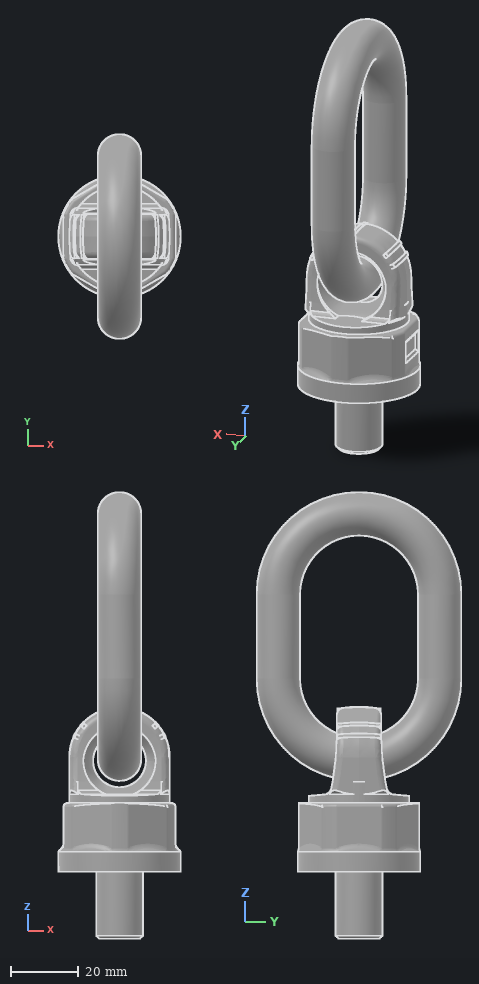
import cadquery as cq
import math


WIRE_DIAMETER = 13.0
RING_INNER_WIDTH = 35.0
RING_STRAIGHT = 25.0
RING_BOTTOM_Z = 27.0

STUD_DIAMETER = 14.0
STUD_LENGTH = 20.0
STUD_CHAMFER = 1.0
FLANGE_RADIUS = 18.25
FLANGE_HEIGHT = 6.0
HEX_ACROSS_FLATS = 33.4
HEX_CORNER_RADIUS = 18.0
HEX_TOP_Z = 20.5
HEX_EDGE_FILLET = 1.5
SKIRT_FILLET = 2.0
TOP_ROUNDING = 1.3
TOP_FADE_Y = 20.2

LABEL_WIDTH = 11.7
LABEL_HEIGHT = 6.8
LABEL_CENTER_Z = 13.5
LABEL_DEPTH = 0.7
LABEL_WALL_RUN = 1.0

DISC_RADIUS = 15.0
DISC_TOP_Z = 23.1
DISC_RIM_Z = 22.6
EYE_RADIUS = DISC_RADIUS
EYE_CENTER_Z = 34.0
EYE_DRAFT = 3.0
EYE_TOP_HALF = 6.65
EYE_FOOT_HALF = 7.9
EYE_TAPER_START_Z = 40.8
EYE_FOOT_Z = 26.8
ROOT_HALF = 9.7
ROOT_SAG = 0.6
EYE_EDGE_FILLET = 2.2
FOOT_TRIM = 1.5
HOLE_CENTER_Z = 33.0
HOLE_THROAT_RADIUS = 7.8
HOLE_MOUTH_RADIUS = 10.75
HOLE_FLARE_HALF = 6.9
RIB_ANGLES = (26.0, 41.5, 90.0, 138.5, 154.0)
RIB_WIDTH = 1.2
RIB_HEIGHT = 0.15
RIB_HALF_LENGTH = 6.4
RIB_END_DROP = 0.4
RIB_ROOT_RADIUS = 12.8


def make_ring():
    wire_radius = WIRE_DIAMETER / 2
    bend_radius = RING_INNER_WIDTH / 2 + wire_radius
    low_z = RING_BOTTOM_Z + bend_radius + wire_radius
    high_z = low_z + RING_STRAIGHT
    path = (
        cq.Workplane("YZ")
        .moveTo(bend_radius, low_z)
        .lineTo(bend_radius, high_z)
        .threePointArc((0, high_z + bend_radius), (-bend_radius, high_z))
        .lineTo(-bend_radius, low_z)
        .threePointArc((0, low_z - bend_radius), (bend_radius, low_z))
        .close()
    )
    return (
        cq.Workplane("XY", origin=(0, bend_radius, low_z))
        .circle(wire_radius)
        .sweep(path)
    )


def make_hex_body():
    """Hexagon with flats on +-X, its corners turned down to a cylinder."""
    height = HEX_TOP_Z - FLANGE_HEIGHT
    corner_diameter = HEX_ACROSS_FLATS / math.cos(math.radians(30))
    body = (
        cq.Workplane("XY", origin=(0, 0, FLANGE_HEIGHT))
        .transformed(rotate=(0, 0, 30))
        .polygon(6, corner_diameter)
        .extrude(height)
    )
    turned = (
        cq.Workplane("XY", origin=(0, 0, FLANGE_HEIGHT))
        .circle(HEX_CORNER_RADIUS)
        .extrude(height)
    )
    return body.intersect(turned).edges("|Z").fillet(HEX_EDGE_FILLET)


def make_top_envelope():
    """Rounded-top block whose rounding is full at +-X and fades out toward +-Y."""
    flat_x = HEX_ACROSS_FLATS / 2
    flat_angle = math.acos(flat_x / HEX_CORNER_RADIUS)
    flat_y = HEX_CORNER_RADIUS * math.sin(flat_angle)
    mid_x = HEX_CORNER_RADIUS * math.cos(math.radians(30))
    mid_y = HEX_CORNER_RADIUS * math.sin(math.radians(30))
    end_angle = math.radians(60) - flat_angle
    end_x = HEX_CORNER_RADIUS * math.cos(end_angle)
    end_y = HEX_CORNER_RADIUS * math.sin(end_angle)
    return (
        cq.Workplane("XY", origin=(0, 0, FLANGE_HEIGHT))
        .moveTo(flat_x, -flat_y)
        .lineTo(flat_x, flat_y)
        .threePointArc((mid_x, mid_y), (end_x, end_y))
        .lineTo(0, TOP_FADE_Y)
        .lineTo(-end_x, end_y)
        .threePointArc((-mid_x, mid_y), (-flat_x, flat_y))
        .lineTo(-flat_x, -flat_y)
        .threePointArc((-mid_x, -mid_y), (-end_x, -end_y))
        .lineTo(0, -TOP_FADE_Y)
        .lineTo(end_x, -end_y)
        .threePointArc((mid_x, -mid_y), (flat_x, -flat_y))
        .close()
        .extrude(HEX_TOP_Z - FLANGE_HEIGHT)
        .faces(">Z")
        .edges()
        .fillet(TOP_ROUNDING)
    )


def make_label_recess():
    taper = math.degrees(math.atan(LABEL_WALL_RUN / LABEL_DEPTH))
    return (
        cq.Workplane("YZ", origin=(-HEX_ACROSS_FLATS / 2, 0, LABEL_CENTER_Z))
        .rect(LABEL_WIDTH, LABEL_HEIGHT)
        .extrude(LABEL_DEPTH, taper=taper)
    )


def make_skirt():
    """45 degree cone rising from the flange rim to just inside the hexagon flats."""
    rise = FLANGE_RADIUS - HEX_ACROSS_FLATS / 2 + 1.0
    return (
        cq.Workplane("XZ")
        .moveTo(0, FLANGE_HEIGHT)
        .lineTo(FLANGE_RADIUS, FLANGE_HEIGHT)
        .lineTo(FLANGE_RADIUS - rise, FLANGE_HEIGHT + rise)
        .lineTo(0, FLANGE_HEIGHT + rise)
        .close()
        .revolve(360, (0, 0, 0), (0, 1, 0))
    )


def make_base():
    flange = cq.Workplane("XY").circle(FLANGE_RADIUS).extrude(FLANGE_HEIGHT)
    stud = (
        cq.Workplane("XY")
        .circle(STUD_DIAMETER / 2)
        .extrude(-STUD_LENGTH)
        .faces("<Z")
        .chamfer(STUD_CHAMFER)
    )
    upper = make_hex_body().intersect(make_top_envelope()).union(make_skirt())
    blend = cq.selectors.BoxSelector((-20, -20, FLANGE_HEIGHT + 0.1), (20, 20, FLANGE_HEIGHT + 2.2))
    upper = upper.edges(blend).fillet(SKIRT_FILLET)
    return upper.union(flange).union(stud).cut(make_label_recess())


def make_eye_half():
    """Half of the arched plate on the -Y side, drafted away from Y = 0."""
    return (
        cq.Workplane("XZ")
        .moveTo(-EYE_RADIUS, HEX_TOP_Z)
        .lineTo(EYE_RADIUS, HEX_TOP_Z)
        .lineTo(EYE_RADIUS, EYE_CENTER_Z)
        .threePointArc((0, EYE_CENTER_Z + EYE_RADIUS), (-EYE_RADIUS, EYE_CENTER_Z))
        .close()
        .extrude(DISC_RADIUS, taper=EYE_DRAFT)
    )


def make_eye_thickness():
    """Side shape of the eye without its root: parallel at the top, flaring downward."""
    top_z = EYE_CENTER_Z + EYE_RADIUS + 1
    foot_drop = EYE_TAPER_START_Z - EYE_FOOT_Z
    foot_gain = EYE_FOOT_HALF - EYE_TOP_HALF
    flare_radius = (foot_drop**2 + foot_gain**2) / (2 * foot_gain)
    full_drop = EYE_TAPER_START_Z - HEX_TOP_Z
    bottom_half = EYE_TOP_HALF + flare_radius - math.sqrt(flare_radius**2 - full_drop**2)
    return (
        cq.Workplane("YZ")
        .moveTo(-bottom_half, HEX_TOP_Z)
        .threePointArc((-EYE_FOOT_HALF, EYE_FOOT_Z), (-EYE_TOP_HALF, EYE_TAPER_START_Z))
        .lineTo(-EYE_TOP_HALF, top_z)
        .lineTo(EYE_TOP_HALF, top_z)
        .lineTo(EYE_TOP_HALF, EYE_TAPER_START_Z)
        .threePointArc((EYE_FOOT_HALF, EYE_FOOT_Z), (bottom_half, HEX_TOP_Z))
        .close()
        .extrude(DISC_RADIUS, both=True)
    )


def make_root():
    """Hollow blend between the eye faces and the top of the disc."""
    mid_y = (EYE_FOOT_HALF + ROOT_HALF) / 2 - ROOT_SAG
    mid_z = (EYE_FOOT_Z + DISC_TOP_Z) / 2 - ROOT_SAG / 2
    return (
        cq.Workplane("YZ")
        .moveTo(-ROOT_HALF, DISC_TOP_Z)
        .threePointArc((-mid_y, mid_z), (-EYE_FOOT_HALF, EYE_FOOT_Z))
        .lineTo(EYE_FOOT_HALF, EYE_FOOT_Z)
        .threePointArc((mid_y, mid_z), (ROOT_HALF, DISC_TOP_Z))
        .close()
        .extrude(DISC_RADIUS, both=True)
    )


def make_disc():
    """Round disc with a flat middle strip and shoulders sloping down toward +-Y."""
    disc = (
        cq.Workplane("XY", origin=(0, 0, HEX_TOP_Z))
        .circle(DISC_RADIUS)
        .extrude(DISC_TOP_Z - HEX_TOP_Z)
    )
    side_shape = (
        cq.Workplane("YZ")
        .moveTo(-DISC_RADIUS, HEX_TOP_Z)
        .lineTo(-DISC_RADIUS, DISC_RIM_Z)
        .lineTo(-ROOT_HALF, DISC_TOP_Z)
        .lineTo(ROOT_HALF, DISC_TOP_Z)
        .lineTo(DISC_RADIUS, DISC_RIM_Z)
        .lineTo(DISC_RADIUS, HEX_TOP_Z)
        .close()
        .extrude(DISC_RADIUS, both=True)
    )
    return disc.intersect(side_shape)


def make_foot_envelope():
    """Cylinder of the disc that opens upward as a cone, trimming the corners of the eye foot."""
    top_z = EYE_CENTER_Z + EYE_RADIUS + 1
    return (
        cq.Workplane("XZ")
        .moveTo(0, HEX_TOP_Z)
        .lineTo(DISC_RADIUS, HEX_TOP_Z)
        .lineTo(DISC_RADIUS, DISC_TOP_Z)
        .lineTo(DISC_RADIUS + FOOT_TRIM, DISC_TOP_Z + FOOT_TRIM)
        .lineTo(DISC_RADIUS + FOOT_TRIM, top_z)
        .lineTo(0, top_z)
        .close()
        .revolve(360, (0, 0, 0), (0, 1, 0))
    )


def make_eye_hole():
    """Trumpet-shaped hole along Y, narrowest mid-eye and never below the disc top."""
    trumpet = (
        cq.Workplane("XY", origin=(0, 0, HOLE_CENTER_Z))
        .moveTo(0, -DISC_RADIUS)
        .lineTo(HOLE_MOUTH_RADIUS, -DISC_RADIUS)
        .lineTo(HOLE_MOUTH_RADIUS, -HOLE_FLARE_HALF)
        .threePointArc((HOLE_THROAT_RADIUS, 0), (HOLE_MOUTH_RADIUS, HOLE_FLARE_HALF))
        .lineTo(HOLE_MOUTH_RADIUS, DISC_RADIUS)
        .lineTo(0, DISC_RADIUS)
        .close()
        .revolve(360, (0, 0, 0), (0, 1, 0))
    )
    span = 2 * DISC_RADIUS
    above_disc = (
        cq.Workplane("XY", origin=(0, 0, DISC_TOP_Z))
        .rect(span, span)
        .extrude(span)
    )
    return trumpet.intersect(above_disc)


def make_eye():
    """Arched plate without its hole, rounded along both face outlines."""
    eye_half = make_eye_half()
    eye = eye_half.union(eye_half.mirror("XZ")).intersect(make_eye_thickness())
    for side in (-1, 1):
        face_edges = cq.selectors.BoxSelector(
            (-DISC_RADIUS, side * EYE_TOP_HALF * 0.9, DISC_TOP_Z),
            (DISC_RADIUS, side * ROOT_HALF, EYE_CENTER_Z + EYE_RADIUS),
        )
        eye = eye.edges(face_edges).edges("not |X").fillet(EYE_EDGE_FILLET)
    return eye


def make_rib(angle):
    """Narrow radial rib across the arch, with a crowned top and squarer ends than the eye."""
    end_radius = EYE_RADIUS - RIB_END_DROP
    return (
        cq.Workplane("XY", origin=(0, 0, -RIB_WIDTH / 2))
        .moveTo(RIB_ROOT_RADIUS, -RIB_HALF_LENGTH)
        .lineTo(end_radius, -RIB_HALF_LENGTH)
        .threePointArc((EYE_RADIUS + RIB_HEIGHT, 0), (end_radius, RIB_HALF_LENGTH))
        .lineTo(RIB_ROOT_RADIUS, RIB_HALF_LENGTH)
        .close()
        .extrude(RIB_WIDTH)
        .rotate((0, 0, 0), (0, -1, 0), angle)
        .translate((0, 0, EYE_CENTER_Z))
    )


def make_head():
    hole = make_eye_hole()
    eye = make_eye().intersect(make_foot_envelope())
    for angle in RIB_ANGLES:
        eye = eye.union(make_rib(angle))
    root_trim = cq.Workplane("XY").circle(DISC_RADIUS).extrude(EYE_CENTER_Z)
    pedestal = make_root().intersect(root_trim).union(make_disc())
    return eye.cut(hole).union(pedestal.cut(hole))


ring = make_ring()
base = make_base()
head = make_head()

result = cq.Compound.makeCompound([base.val(), head.val(), ring.val()])